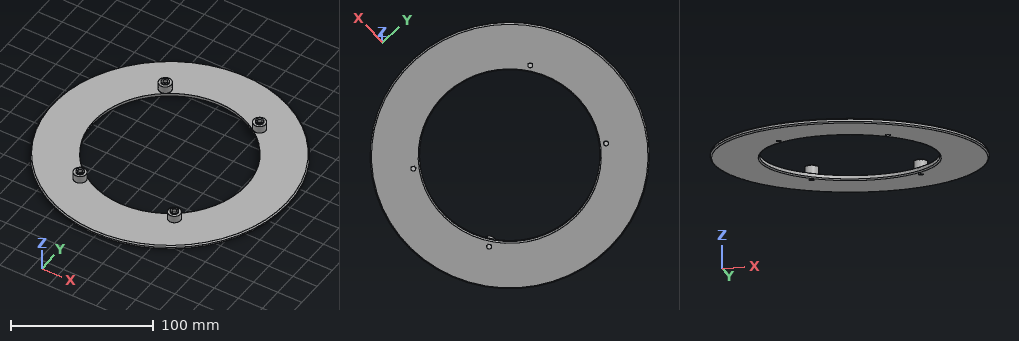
import cadquery as cq
import math

ring_diameter = 196.0
bore_diameter = 126.42
ring_thickness = 3.5
edge_chamfer = 1.0

total_height = 10.5
boss_diameter = 10.0
collar_diameter = 6.0
collar_height = 1.0
screw_hole_diameter = 3.4
boss_height = total_height - ring_thickness - collar_height
boss_circle_radius = (bore_diameter + boss_diameter) / 2
boss_angle = math.radians(55.0)
boss_x = boss_circle_radius * math.cos(boss_angle)
boss_y = boss_circle_radius * math.sin(boss_angle)
boss_centers = [(side_x * boss_x, side_y * boss_y) for side_x in (-1, 1) for side_y in (-1, 1)]


def make_ring():
    """Ring chamfered on every edge except the top edge of the bore."""
    ring = cq.Workplane("XY").circle(ring_diameter / 2).circle(bore_diameter / 2).extrude(ring_thickness)
    ring = ring.faces("<Z").edges().chamfer(edge_chamfer)
    top_rim = ring.faces(">Z").edges(cq.selectors.RadiusNthSelector(-1))
    return top_rim.chamfer(edge_chamfer)


def make_cylinders(diameter, bottom, height):
    """One upright cylinder at each standoff center."""
    plane = cq.Workplane("XY").workplane(offset=bottom)
    return plane.pushPoints(boss_centers).circle(diameter / 2).extrude(height)


bosses = make_cylinders(boss_diameter, ring_thickness, boss_height)
collars = make_cylinders(collar_diameter, ring_thickness + boss_height, collar_height)
screw_holes = make_cylinders(screw_hole_diameter, 0, total_height)

result = make_ring().union(bosses).union(collars).cut(screw_holes)